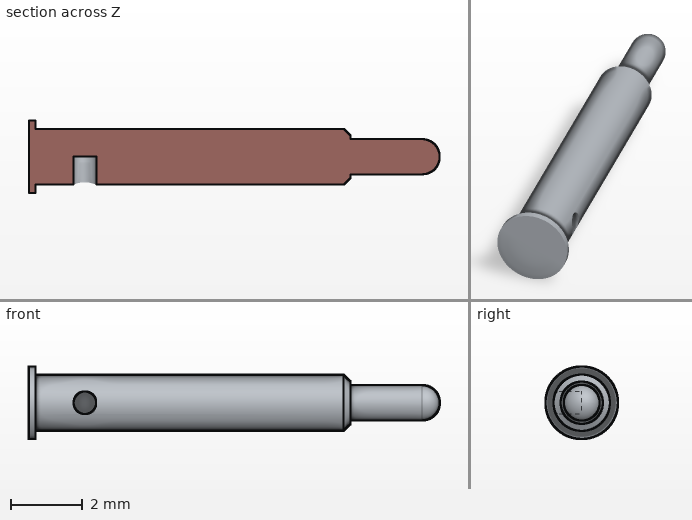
import cadquery as cq

total_length = 11.5
flange_diameter = 2.04
flange_thickness = 0.2
barrel_diameter = 1.58
plunger_diameter = 1.0

shoulder_end = 9.0
shoulder_chamfer = 0.2

hole_diameter = 0.63
hole_position = 1.58
hole_depth = barrel_diameter / 2

flange_radius = flange_diameter / 2
barrel_radius = barrel_diameter / 2
plunger_radius = plunger_diameter / 2
shoulder_start = shoulder_end - shoulder_chamfer
tip_start = total_length - plunger_radius


def turned_pin():
    """Flange, barrel, shoulder and plunger with hemispherical tip, revolved about X."""
    return (
        cq.Workplane("XY")
        .moveTo(0, 0)
        .lineTo(0, flange_radius)
        .lineTo(flange_thickness, flange_radius)
        .lineTo(flange_thickness, barrel_radius)
        .lineTo(shoulder_start, barrel_radius)
        .lineTo(shoulder_end, barrel_radius - shoulder_chamfer)
        .lineTo(shoulder_end, plunger_radius)
        .lineTo(tip_start, plunger_radius)
        .radiusArc((total_length, 0), plunger_radius)
        .close()
        .revolve(360, (0, 0, 0), (1, 0, 0))
    )


def side_hole():
    """Blind hole from the -Y side of the barrel to the axis."""
    return (
        cq.Workplane("XZ", origin=(hole_position, -barrel_radius, 0))
        .circle(hole_diameter / 2)
        .extrude(-hole_depth)
    )


result = turned_pin().cut(side_hole())